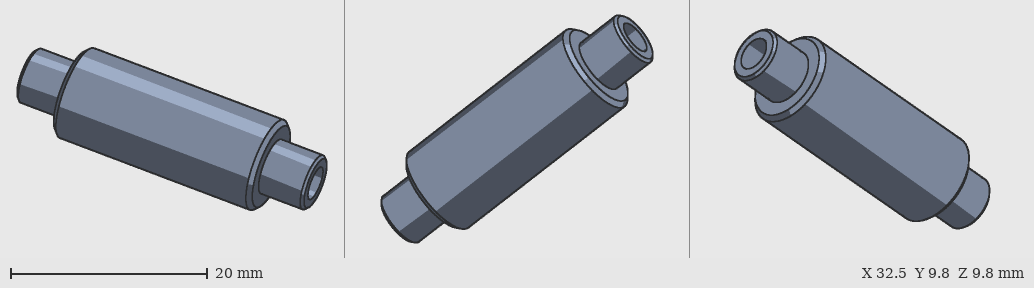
import cadquery as cq

total_length = 32.5
journal_length = 5.0
body_length = total_length - 2 * journal_length

body_diameter = 9.8
journal_diameter = 5.9
bore_diameter = 3.5

body_chamfer = 0.5
journal_chamfer = 0.3


def centred_cylinder(diameter, length):
    """Cylinder along X, centred on the origin."""
    return cq.Workplane("YZ", origin=(-length / 2, 0, 0)).circle(diameter / 2).extrude(length)


def chamfered_cylinder(diameter, length, chamfer):
    """Centred cylinder with both end rims chamfered."""
    return centred_cylinder(diameter, length).faces("<X or >X").edges().chamfer(chamfer)


body = chamfered_cylinder(body_diameter, body_length, body_chamfer)

journals = chamfered_cylinder(journal_diameter, total_length, journal_chamfer)

bore = centred_cylinder(bore_diameter, total_length)

result = body.union(journals).cut(bore)